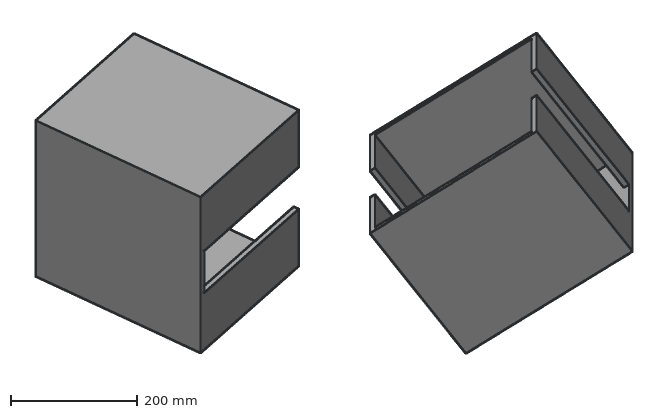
import cadquery as cq

width = 322.0
depth = 265.0
height = 322.0

wall = 10.0

slot_height = 86.3


def centred_block(size_x, size_z, front_y):
    """Block centred on X and Z, running from front_y to the back of the box."""
    length = depth / 2 - front_y
    return cq.Workplane("XY").box(size_x, length, size_z).translate((0, front_y + length / 2, 0))


outer_front = -depth / 2
inner_front = outer_front + wall

box = centred_block(width, height, outer_front)
cavity = centred_block(width - 2 * wall, height - 2 * wall, inner_front)
side_slots = centred_block(width, slot_height, inner_front)

result = box.cut(cavity).cut(side_slots)